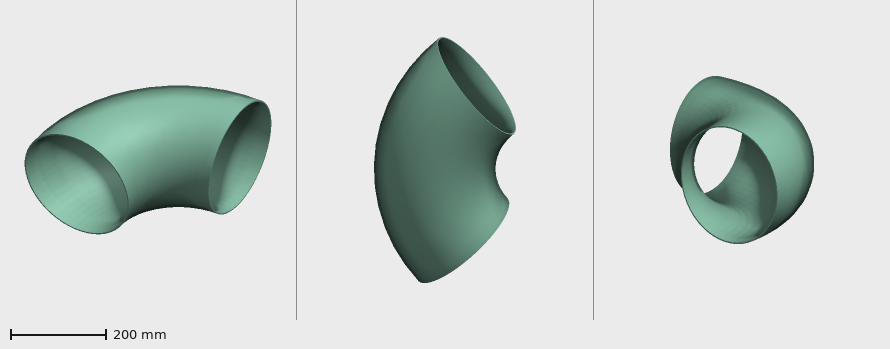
import cadquery as cq

overall_size = 378.0
pipe_diameter = 256.0
wall = 3.0
bend_angle = 90.0

pipe_radius = pipe_diameter / 2
bend_radius = overall_size - pipe_radius

ring = (
    cq.Workplane("XZ")
    .center(-bend_radius, 0)
    .circle(pipe_radius)
    .circle(pipe_radius - wall)
)

result = ring.revolve(bend_angle, (bend_radius, 0), (bend_radius, -1))